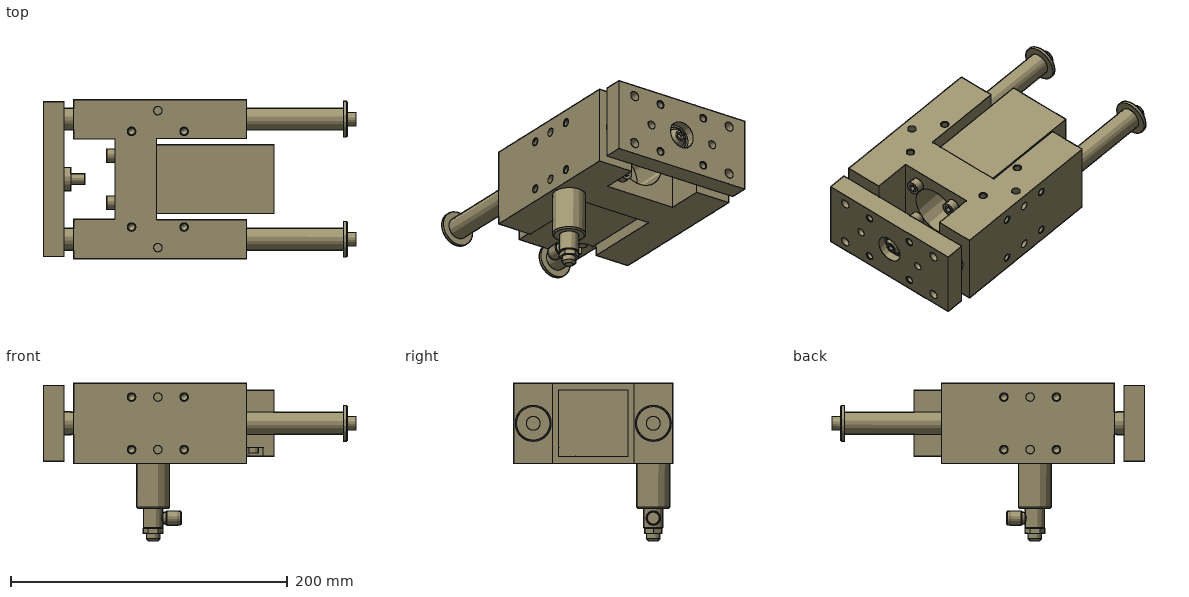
import cadquery as cq
import math

TOTAL_LENGTH = 226.0

ROD_DIAMETER = 16.0
ROD_SPACING = 86.8
ROD_SIDES = (ROD_SPACING / 2, -ROD_SPACING / 2)
STOP_DISC_DIAMETER = 26.0
STOP_DISC_START = 216.7
STOP_DISC_THICKNESS = 3.2
STOP_DISC_CHAMFER = 1.0
STOP_SCREW_DIAMETER = 10.0

PLATE_THICKNESS = 15.0
PLATE_WIDTH = 112.0
PLATE_HEIGHT = 55.0
HOLE_PITCH = 38.0
PLATE_CORNER_HOLE_DIAMETER = 7.0
PLATE_CORNER_HOLE_SPACING = 84.0
PLATE_PIN_SPACING = 54.0
PLATE_PIN_DEPTH = 10.0

COUPLING_BORE_DIAMETER = 20.1
COUPLING_BORE_DEPTH = 6.5
COLLAR_DIAMETER = 17.0
COLLAR_END = 20.0
COUPLING_SHANK_DIAMETER = 8.0
COUPLING_SHANK_END = 30.0
BUTTON_DIAMETER = 14.0
BUTTON_FLAT_DIAMETER = 8.0
BUTTON_HEIGHT = 5.0
COLLAR_RECESS = 0.2
BUTTON_SOCKET_DEPTH = 2.7

BLOCK_START = 22.0
BLOCK_LENGTH = 125.0
BLOCK_WIDTH = 115.0
BLOCK_HEIGHT = 58.0
WEB_FRONT = 51.8
WEB_REAR = 81.8
FRONT_SLOT_WIDTH = 57.9
REAR_SLOT_WIDTH = 58.5
WEB_BORE_DIAMETER = 38.0

TAP_DIAMETER = 5.0
TAP_MOUTH_DIAMETER = 6.0
TAP_DEPTH = 12.0
DOWEL_DIAMETER = 6.0
DOWEL_DEPTH = 6.0
DRILL_POINT_ANGLE = 118
HOLE_GROUP_X = 82.7
TOP_TAP_Y = 34.5
TOP_DOWEL_Y = 49.5

SCREW_HEAD_DIAMETER = 10.0
SCREW_HEAD_HEIGHT = 6.0
SOCKET_FLATS = 5.0
SOCKET_DEPTH = 3.0
SCREW_OFFSET = 17.0
SCREW_PLACES = ((SCREW_OFFSET, SCREW_OFFSET), (-SCREW_OFFSET, SCREW_OFFSET), (SCREW_OFFSET, -SCREW_OFFSET))

CYLINDER_END = 166.8
CYLINDER_WIDTH = 50.0
CYLINDER_HEIGHT = 48.0
POCKET_X = 152.0
POCKET_DIAMETER = 16.0
POCKET_INSET = 4.3
POCKET_HEIGHT = 6.3
POCKET_PIN_DIAMETER = 7.0
POCKET_PIN_LENGTH = 3.8

LOCK_X = 79.3
LOCK_Y = ROD_SPACING / 2
LOCK_BODY_DIAMETER = 24.0
LOCK_BODY_BOTTOM = -61.7
LOCK_BODY_CHAMFER = 1.1
LOCK_NECK_DIAMETER = 14.0
LOCK_NECK_CHAMFER = 0.7
LOCK_NUT_TOP = -76.0
LOCK_NUT_BOTTOM = -79.5
LOCK_NUT_FLATS = 12.5
LOCK_TIP_DIAMETER = 10.0
LOCK_TIP_BOTTOM = -85.2
LOCK_TIP_CHAMFER = 1.8

FITTING_Z = -68.5
FITTING_STEM_DIAMETER = 6.5
FITTING_CONE_START = 86.5
FITTING_CONE_DIAMETER = 8.0
FITTING_BODY_START = 88.5
FITTING_BODY_DIAMETER = 10.5
FITTING_CONE_END_DIAMETER = 9.3
FITTING_END = 99.7
FITTING_CHAMFER = 0.7
FITTING_TAPER_LENGTH = 1.5
FITTING_TAPER_DEPTH = 0.2


def hex_corners(flats):
    """Distance across the corners of a hexagon."""
    return flats / math.cos(math.radians(30))


def box(x_start, x_end, width, height):
    """Block centred on the X axis."""
    length = x_end - x_start
    return cq.Workplane("XY").box(length, width, height).translate((x_start + length / 2, 0, 0))


def bar_x(diameter, x_start, x_end, y=0, z=0):
    """Round bar along X."""
    return cq.Workplane("YZ", origin=(x_start, y, z)).circle(diameter / 2).extrude(x_end - x_start)


def bar_down(diameter, z_top, z_bottom, x, y):
    """Round bar running down along Z."""
    return cq.Workplane("XY", origin=(x, y, z_bottom)).circle(diameter / 2).extrude(z_top - z_bottom)


def hex_socket(x_start, depth, y=0, z=0):
    """Cutter for a hexagon socket along X, with a corner of the hexagon pointing up."""
    return (
        cq.Workplane("YZ", origin=(x_start, y, z))
        .transformed(rotate=(0, 0, 30))
        .polygon(6, hex_corners(SOCKET_FLATS))
        .extrude(depth)
    )


def tapped_hole(depth):
    """Cutter for a drilled hole along -Z from the origin, with a countersunk mouth and a drill point."""
    radius = TAP_DIAMETER / 2
    mouth = TAP_MOUTH_DIAMETER / 2
    point = radius / math.tan(math.radians(DRILL_POINT_ANGLE / 2))
    profile = [(0, 0), (mouth, 0), (radius, radius - mouth), (radius, -depth), (0, -depth - point)]
    return cq.Workplane("XZ").polyline(profile).close().revolve(360, (0, 0, 0), (0, 1, 0))


def dowel_hole(depth):
    """Cutter for a flat-bottomed hole along -Z from the origin."""
    return cq.Workplane("XY").circle(DOWEL_DIAMETER / 2).extrude(-depth)


def tool_plate():
    plate = box(0, PLATE_THICKNESS, PLATE_WIDTH, PLATE_HEIGHT)
    front = cq.Workplane("YZ")
    corner_holes = (
        front.rarray(PLATE_CORNER_HOLE_SPACING, HOLE_PITCH, 2, 2)
        .circle(PLATE_CORNER_HOLE_DIAMETER / 2)
        .extrude(PLATE_THICKNESS)
    )
    pin_holes = (
        front.rarray(PLATE_PIN_SPACING, 2.3, 2, 1).circle(DOWEL_DIAMETER / 2).extrude(PLATE_PIN_DEPTH)
    )
    coupling_bore = bar_x(COUPLING_BORE_DIAMETER, 0, COUPLING_BORE_DEPTH)
    collar_recess = bar_x(COLLAR_DIAMETER, COUPLING_BORE_DEPTH, COUPLING_BORE_DEPTH + COLLAR_RECESS)
    plate = plate.cut(corner_holes).cut(pin_holes).cut(coupling_bore).cut(collar_recess)
    tap = tapped_hole(PLATE_THICKNESS).rotate((0, 0, 0), (0, 1, 0), -90)
    for y in (-HOLE_PITCH / 2, HOLE_PITCH / 2):
        for z in (-HOLE_PITCH / 2, HOLE_PITCH / 2):
            plate = plate.cut(tap.translate((0, y, z)))
    return plate


def coupling():
    """Collar and shank behind the plate, and the button head in the plate's bore."""
    collar = bar_x(COLLAR_DIAMETER, PLATE_THICKNESS, COLLAR_END)
    shank = bar_x(COUPLING_SHANK_DIAMETER, COLLAR_END, COUPLING_SHANK_END)
    rim = BUTTON_DIAMETER / 2
    flat = BUTTON_FLAT_DIAMETER / 2
    seat = COUPLING_BORE_DEPTH + COLLAR_RECESS
    top = seat - BUTTON_HEIGHT
    centre = (seat**2 + rim**2 - top**2 - flat**2) / (2 * BUTTON_HEIGHT)
    radius = math.hypot(seat - centre, rim)
    middle = (top + seat) / 2
    dome_point = (middle, math.sqrt(radius**2 - (middle - centre) ** 2))
    button = (
        cq.Workplane("XY")
        .moveTo(top, 0)
        .lineTo(top, flat)
        .threePointArc(dome_point, (seat, rim))
        .lineTo(seat, 0)
        .close()
        .revolve(360, (0, 0, 0), (1, 0, 0))
    )
    button = button.cut(hex_socket(top, BUTTON_SOCKET_DEPTH))
    return collar.union(shank).union(button)


def guide_rod(y):
    disc_end = STOP_DISC_START + STOP_DISC_THICKNESS
    disc = bar_x(STOP_DISC_DIAMETER, STOP_DISC_START, disc_end, y)
    disc = disc.faces(">X").chamfer(STOP_DISC_CHAMFER)
    rod = bar_x(ROD_DIAMETER, PLATE_THICKNESS, STOP_DISC_START, y)
    return rod.union(disc).union(bar_x(STOP_SCREW_DIAMETER, disc_end, TOTAL_LENGTH, y))


def make_carriage():
    carriage = tool_plate().union(coupling())
    for y in ROD_SIDES:
        carriage = carriage.union(guide_rod(y))
    return carriage


def housing_block():
    block_end = BLOCK_START + BLOCK_LENGTH
    block = box(BLOCK_START, block_end, BLOCK_WIDTH, BLOCK_HEIGHT)
    block = block.cut(box(BLOCK_START, WEB_FRONT, FRONT_SLOT_WIDTH, BLOCK_HEIGHT))
    block = block.cut(box(WEB_REAR, block_end, REAR_SLOT_WIDTH, BLOCK_HEIGHT))
    return block.cut(bar_x(WEB_BORE_DIAMETER, WEB_FRONT, WEB_REAR))


def mounting_holes():
    """Cutters for the holes in the top face and in both side faces of the block."""
    tap = tapped_hole(TAP_DEPTH)
    dowel = dowel_hole(DOWEL_DEPTH)
    tap_places = (HOLE_GROUP_X - HOLE_PITCH / 2, HOLE_GROUP_X + HOLE_PITCH / 2)
    cutters = []
    for side in (-1, 1):
        top = BLOCK_HEIGHT / 2
        cutters += [tap.translate((x, side * TOP_TAP_Y, top)) for x in tap_places]
        cutters.append(dowel.translate((HOLE_GROUP_X, side * TOP_DOWEL_Y, top)))
        side_tap = tap.rotate((0, 0, 0), (1, 0, 0), -90 * side)
        side_dowel = dowel.rotate((0, 0, 0), (1, 0, 0), -90 * side)
        face = side * BLOCK_WIDTH / 2
        for z in (-HOLE_PITCH / 2, HOLE_PITCH / 2):
            cutters += [side_tap.translate((x, face, z)) for x in tap_places]
            cutters.append(side_dowel.translate((HOLE_GROUP_X, face, z)))
    return cutters


def socket_screw(y, z):
    head_start = WEB_FRONT - SCREW_HEAD_HEIGHT
    head = bar_x(SCREW_HEAD_DIAMETER, head_start, WEB_FRONT, y, z)
    return head.cut(hex_socket(head_start, SOCKET_DEPTH, y, z))


def drive_cylinder():
    """Square cylinder body with a pocket at its lower -Y edge that holds a short pin."""
    cylinder = box(WEB_REAR, CYLINDER_END, CYLINDER_WIDTH, CYLINDER_HEIGHT)
    bottom = -CYLINDER_HEIGHT / 2
    ceiling = bottom + POCKET_HEIGHT
    pocket_y = POCKET_INSET - CYLINDER_WIDTH / 2
    pocket = bar_down(POCKET_DIAMETER, ceiling, bottom, POCKET_X, pocket_y)
    pin = bar_down(POCKET_PIN_DIAMETER, ceiling, ceiling - POCKET_PIN_LENGTH, POCKET_X, pocket_y)
    return cylinder.cut(pocket).union(pin)


def rod_lock():
    body = bar_down(LOCK_BODY_DIAMETER, -BLOCK_HEIGHT / 2, LOCK_BODY_BOTTOM, LOCK_X, LOCK_Y)
    body = body.faces("<Z").chamfer(LOCK_BODY_CHAMFER)
    neck = bar_down(LOCK_NECK_DIAMETER, LOCK_BODY_BOTTOM, LOCK_NUT_TOP, LOCK_X, LOCK_Y)
    neck = neck.faces("<Z").chamfer(LOCK_NECK_CHAMFER)
    nut = (
        cq.Workplane("XY", origin=(LOCK_X, LOCK_Y, LOCK_NUT_BOTTOM))
        .polygon(6, hex_corners(LOCK_NUT_FLATS))
        .extrude(LOCK_NUT_TOP - LOCK_NUT_BOTTOM)
    )
    tip = bar_down(LOCK_TIP_DIAMETER, LOCK_NUT_BOTTOM, LOCK_TIP_BOTTOM, LOCK_X, LOCK_Y)
    tip = tip.faces("<Z").chamfer(LOCK_TIP_CHAMFER)
    return body.union(neck).union(nut).union(tip)


def hose_fitting():
    """Turned fitting along X that starts on the axis of the rod lock."""
    body_radius = FITTING_BODY_DIAMETER / 2
    taper_radius = body_radius - FITTING_TAPER_DEPTH
    taper_end = FITTING_END - FITTING_CHAMFER
    profile = [
        (LOCK_X, 0),
        (LOCK_X, FITTING_STEM_DIAMETER / 2),
        (FITTING_CONE_START, FITTING_STEM_DIAMETER / 2),
        (FITTING_CONE_START, FITTING_CONE_DIAMETER / 2),
        (FITTING_BODY_START, FITTING_CONE_END_DIAMETER / 2),
        (FITTING_BODY_START + FITTING_CHAMFER, body_radius),
        (taper_end - FITTING_TAPER_LENGTH, body_radius),
        (taper_end, taper_radius),
        (FITTING_END, taper_radius - FITTING_CHAMFER),
        (FITTING_END, 0),
    ]
    fitting = cq.Workplane("XY").polyline(profile).close().revolve(360, (0, 0, 0), (1, 0, 0))
    return fitting.translate((0, LOCK_Y, FITTING_Z))


def make_housing():
    housing = housing_block()
    for cutter in mounting_holes():
        housing = housing.cut(cutter)
    housing = housing.union(drive_cylinder()).union(rod_lock()).union(hose_fitting())
    for y, z in SCREW_PLACES:
        housing = housing.union(socket_screw(y, z))
    for y in ROD_SIDES:
        housing = housing.cut(bar_x(ROD_DIAMETER, BLOCK_START, BLOCK_START + BLOCK_LENGTH, y))
    return housing


carriage = make_carriage()
housing = make_housing()
result = cq.Compound.makeCompound([carriage.val(), housing.val()])